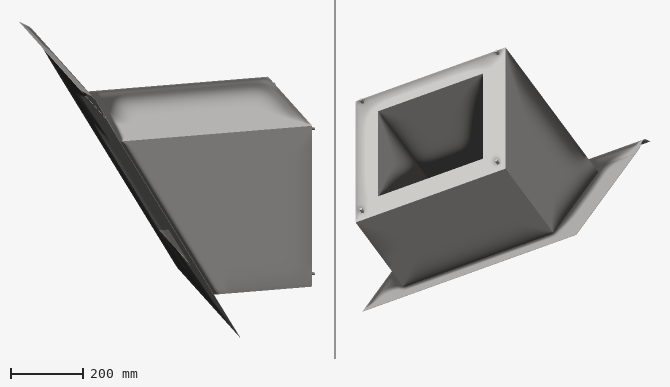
import cadquery as cq
import math


PLATE_WIDTH = 665.0
PLATE_ANGLE = 60.0
SHEET = 1.0
CREASE_Z = 619.0
LAP_Z = 665.0
LAP_ANGLE = 61.0

STRIP_STEP = 1.0
STRIP_ANGLE = 62.0
STRIP_TOP_WIDTH = 656.0
BEND_START_Z = 712.5
FLANGE_LENGTH = 36.0
FLANGE_ANGLE = 31.0
TOP_Z = 752.5
TIP_Y = -454.5

DUCT_SIZE = 466.5
DUCT_BOTTOM_Z = 98.0
DUCT_BACK_Y = 234.0
BORE_SIZE = 327.0

PIN_DIAMETER = 8.0
PIN_LENGTH = 13.5
PIN_SPACING = 421.5
PIN_RAISE = 7.5

DUCT_TOP_Z = DUCT_BOTTOM_Z + DUCT_SIZE
DUCT_MID_Z = DUCT_BOTTOM_Z + DUCT_SIZE / 2


def climb(point, z, angle):
    """Follow a forward-leaning slope from a (Y, Z) point up to height z."""
    y0, z0 = point
    return (y0 - (z - z0) / math.tan(math.radians(angle)), z)


def shift(point, dy, dz):
    return (point[0] + dy, point[1] + dz)


def extrude_x(profile, width):
    """Extrude a closed YZ profile symmetrically about X = 0."""
    return profile.close().extrude(width / 2, both=True)


def thickness_shift(angle):
    """Shift towards the back of a sheet that slopes at the given angle."""
    slope = math.radians(angle)
    return (SHEET * math.sin(slope), SHEET * math.cos(slope))


FOOT = (0.0, 0.0)
CREASE = climb(FOOT, CREASE_Z, PLATE_ANGLE)
LAP = climb(CREASE, LAP_Z, LAP_ANGLE)


def make_plate():
    back = thickness_shift(PLATE_ANGLE)
    outline = [FOOT, CREASE, LAP] + [shift(p, *back) for p in (LAP, CREASE, FOOT)]
    return extrude_x(cq.Workplane("YZ").polyline(outline), PLATE_WIDTH)


def make_strip():
    back = thickness_shift((STRIP_ANGLE + FLANGE_ANGLE) / 2)
    flange = math.radians(FLANGE_ANGLE)
    strip_angle = math.radians(STRIP_ANGLE)

    start = shift(CREASE, STRIP_STEP, 0)
    root = shift(LAP, STRIP_STEP, 0)
    bend_start = climb(root, BEND_START_Z, STRIP_ANGLE)
    tip = (TIP_Y, TOP_Z - back[1])
    bend_end = shift(tip, FLANGE_LENGTH * math.cos(flange), -FLANGE_LENGTH * math.sin(flange))
    web_direction = (-math.cos(strip_angle), math.sin(strip_angle))
    tip_back = shift(tip, *back)
    bend_end_back = shift(bend_end, *back)

    front = cq.Workplane("YZ").moveTo(*start).lineTo(*root).lineTo(*bend_start)
    bend = cq.Edge.makeTangentArc(
        cq.Vector(0, *bend_start), cq.Vector(0, *web_direction), cq.Vector(0, *bend_end)
    )
    middle = bend.positionAt(0.5)
    bend_mid = (middle.y, middle.z)
    profile = (
        front.threePointArc(bend_mid, bend_end)
        .lineTo(*tip)
        .lineTo(*tip_back)
        .lineTo(*bend_end_back)
        .threePointArc(shift(bend_mid, *back), shift(bend_start, *back))
        .lineTo(*shift(root, *back))
        .lineTo(*shift(start, *back))
    )
    strip = extrude_x(profile, PLATE_WIDTH)

    half_plate = PLATE_WIDTH / 2
    half_top = STRIP_TOP_WIDTH / 2
    side_envelope = (
        cq.Workplane("XZ")
        .polyline([
            (-half_plate, CREASE_Z), (half_plate, CREASE_Z), (half_plate, LAP_Z),
            (half_top, BEND_START_Z), (half_top, TOP_Z),
            (-half_top, TOP_Z), (-half_top, BEND_START_Z), (-half_plate, LAP_Z),
        ])
        .close()
        .extrude(-2 * TIP_Y, both=True)
    )
    return strip.intersect(side_envelope)


def make_duct():
    outline = [
        climb(FOOT, DUCT_BOTTOM_Z, PLATE_ANGLE),
        climb(FOOT, DUCT_TOP_Z, PLATE_ANGLE),
        (DUCT_BACK_Y, DUCT_TOP_Z),
        (DUCT_BACK_Y, DUCT_BOTTOM_Z),
    ]
    return extrude_x(cq.Workplane("YZ").polyline(outline), DUCT_SIZE)


def make_bore():
    """Straight square passage through the duct and the plate."""
    length = DUCT_BACK_Y - TIP_Y
    return (
        cq.Workplane("XZ", origin=(0, DUCT_BACK_Y, DUCT_MID_Z))
        .rect(BORE_SIZE, BORE_SIZE)
        .extrude(length)
    )


def make_pins():
    return (
        cq.Workplane("XZ", origin=(0, DUCT_BACK_Y, DUCT_MID_Z + PIN_RAISE))
        .rect(PIN_SPACING, PIN_SPACING, forConstruction=True)
        .vertices()
        .circle(PIN_DIAMETER / 2)
        .extrude(-PIN_LENGTH)
    )


result = make_plate().union(make_strip()).union(make_duct()).cut(make_bore()).union(make_pins())